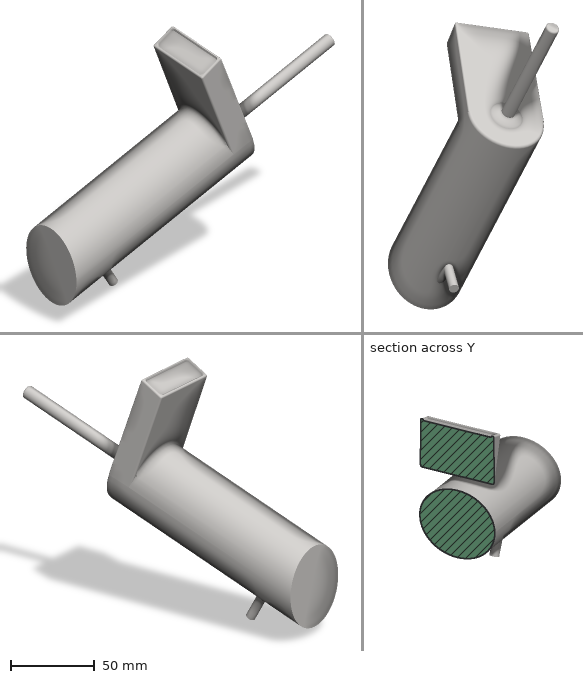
import cadquery as cq
import math

TILT = 20.0
TILT_RADIANS = math.radians(TILT)

BODY_DIAMETER = 48.5
BODY_RADIUS = BODY_DIAMETER / 2
BODY_LENGTH = 143.5
RIM_FILLET = 1.7

HANDLE_DEPTH = 17.1
HANDLE_BACK_HEIGHT = 70.4
HANDLE_TOP_SLOPE = 10.0
HANDLE_TOP_WIDTH = 47.3
HANDLE_FILLET = 1.0
ROOT_FILLET = 1.5

TRAY_INSET = 1.3
TRAY_DEPTH = 1.0
TRAY_WALL_RUN = 0.9
TRAY_CORNER_RADIUS = 2.5

OVERALL_LENGTH = 214.0
ROD_DIAMETER = 8.3
ROD_RADIUS = ROD_DIAMETER / 2
ROD_FILLET = 1.0
COLLAR_DIAMETER = 20.5
COLLAR_HEIGHT = 3.2

PIPE_RADIUS = 3.0
PIPE_START_Y = 12.8
PIPE_ELBOW_Y = 38.3
PIPE_ELBOW_Z = -14.5
PIPE_DROP_LENGTH = 17.8
PIPE_BEND = 60.0


def make_body():
    """Cylinder with a rounded far rim and a foot cut at the tilt angle."""
    overlap = BODY_DIAMETER
    cylinder = (
        cq.Workplane("XZ", origin=(0, -overlap, 0))
        .circle(BODY_RADIUS)
        .extrude(-(BODY_LENGTH + overlap))
        .faces(">Y")
        .edges()
        .fillet(RIM_FILLET)
    )
    waste = (
        cq.Workplane("XY")
        .box(2 * BODY_DIAMETER, 4 * BODY_DIAMETER, 4 * BODY_DIAMETER)
        .translate((0, -2 * BODY_DIAMETER, 0))
        .rotate((0, 0, 0), (1, 0, 0), -TILT)
    )
    return cylinder.cut(waste)


def make_handle():
    """Blade with slightly converging sides, a sloping top and rounded edges."""
    front_y = BODY_LENGTH - HANDLE_DEPTH
    front_height = HANDLE_BACK_HEIGHT - HANDLE_DEPTH * math.tan(math.radians(HANDLE_TOP_SLOPE))
    blade = (
        cq.Workplane("XZ", origin=(0, front_y, 0))
        .polyline([
            (-BODY_RADIUS, 0),
            (BODY_RADIUS, 0),
            (HANDLE_TOP_WIDTH / 2, HANDLE_BACK_HEIGHT),
            (-HANDLE_TOP_WIDTH / 2, HANDLE_BACK_HEIGHT),
        ])
        .close()
        .extrude(-HANDLE_DEPTH)
    )
    side_profile = (
        cq.Workplane("YZ", origin=(-BODY_RADIUS, 0, 0))
        .polyline([
            (front_y, 0),
            (BODY_LENGTH, 0),
            (BODY_LENGTH, HANDLE_BACK_HEIGHT),
            (front_y, front_height),
        ])
        .close()
        .extrude(BODY_DIAMETER)
    )
    return blade.intersect(side_profile).edges("not <Z").fillet(HANDLE_FILLET)


def make_tray():
    """Cutter for the tray, sunk square to the sloping handle top."""
    slope = math.radians(HANDLE_TOP_SLOPE)
    top_length = HANDLE_DEPTH / math.cos(slope)
    middle_y = BODY_LENGTH - HANDLE_DEPTH / 2
    middle_z = HANDLE_BACK_HEIGHT - HANDLE_DEPTH / 2 * math.tan(slope)
    wall_taper = math.degrees(math.atan2(TRAY_WALL_RUN, TRAY_DEPTH))
    outline = cq.Sketch().rect(HANDLE_TOP_WIDTH - 2 * TRAY_INSET, top_length - 2 * TRAY_INSET)
    outline = outline.vertices().fillet(TRAY_CORNER_RADIUS)
    return (
        cq.Workplane("XY")
        .placeSketch(outline)
        .extrude(-TRAY_DEPTH, taper=wall_taper)
        .rotate((0, 0, 0), (1, 0, 0), HANDLE_TOP_SLOPE)
        .translate((0, middle_y, middle_z))
    )


def make_root_blend():
    """Concave ring blending the handle front into the body, within the flat of the handle."""
    front_y = BODY_LENGTH - HANDLE_DEPTH
    embed = HANDLE_FILLET
    outer_radius = BODY_RADIUS + ROOT_FILLET
    arc_offset = ROOT_FILLET * (1 - math.sqrt(0.5))
    flat_width = HANDLE_TOP_WIDTH - 2 * HANDLE_FILLET
    ring = (
        cq.Workplane("XY")
        .moveTo(BODY_RADIUS - embed, front_y - ROOT_FILLET)
        .lineTo(BODY_RADIUS, front_y - ROOT_FILLET)
        .threePointArc((BODY_RADIUS + arc_offset, front_y - arc_offset), (outer_radius, front_y))
        .lineTo(outer_radius, front_y + embed)
        .lineTo(BODY_RADIUS - embed, front_y + embed)
        .close()
        .revolve(360, (0, 0, 0), (0, 1, 0))
    )
    flat = (
        cq.Workplane("XY", origin=(0, front_y, 0))
        .rect(flat_width, HANDLE_DEPTH)
        .extrude(BODY_DIAMETER)
    )
    return ring.intersect(flat)


def make_rod():
    """Collar and rod turned about the body axis, with a rounded rod end."""
    fillet_centre_reach = OVERALL_LENGTH - ROD_FILLET
    fillet_centre_rise = (ROD_RADIUS - ROD_FILLET) * math.sin(TILT_RADIANS)
    rod_end = (fillet_centre_reach - fillet_centre_rise) / math.cos(TILT_RADIANS) + ROD_FILLET
    rod = (
        cq.Workplane("XZ", origin=(0, BODY_LENGTH - COLLAR_HEIGHT, 0))
        .circle(ROD_RADIUS)
        .extrude(-(rod_end - BODY_LENGTH + COLLAR_HEIGHT))
        .faces(">Y")
        .edges()
        .fillet(ROD_FILLET)
    )
    collar = (
        cq.Workplane("XY")
        .polyline([
            (0, BODY_LENGTH),
            (COLLAR_DIAMETER / 2, BODY_LENGTH),
            (ROD_RADIUS, BODY_LENGTH + COLLAR_HEIGHT),
            (0, BODY_LENGTH + COLLAR_HEIGHT),
        ])
        .close()
        .revolve(360, (0, 0, 0), (0, 1, 0))
    )
    return rod.union(collar)


def make_pipe():
    """Level pipe leaving the body, mitred into a downward leg."""
    bend = math.radians(PIPE_BEND)
    end_y = PIPE_ELBOW_Y + PIPE_DROP_LENGTH * math.cos(bend)
    end_z = PIPE_ELBOW_Z - PIPE_DROP_LENGTH * math.sin(bend)
    path = cq.Workplane("YZ").polyline([
        (PIPE_START_Y, PIPE_ELBOW_Z),
        (PIPE_ELBOW_Y, PIPE_ELBOW_Z),
        (end_y, end_z),
    ])
    start = cq.Workplane("XZ", origin=(0, PIPE_START_Y, PIPE_ELBOW_Z))
    return start.circle(PIPE_RADIUS).sweep(path, transition="right")


handle = make_handle().cut(make_tray())
tilted = make_body().union(handle).union(make_root_blend()).union(make_rod())
result = tilted.rotate((0, 0, 0), (1, 0, 0), TILT).union(make_pipe())